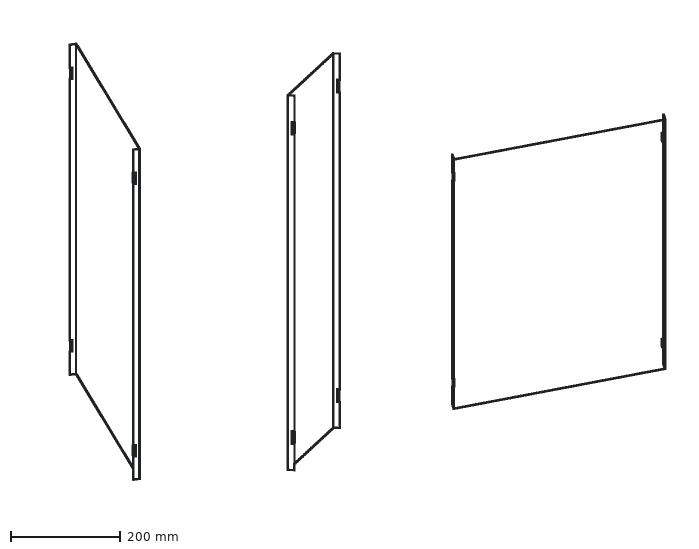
import cadquery as cq

width = 400.0
depth = 12.5
height = 700.0
sheet = 1.0

recess_end_gap = 61.0
recess_length = 24.0
recess_floor_length = 19.5
recess_offset = 3.0
recess_reach = 5.0
recess_floor_reach = 3.0

front = -depth / 2
inner_face = width / 2 - sheet


def channel():
    """Flat sheet with a flange folded forward along each long side."""
    blank = cq.Workplane("XY").box(width, depth, height)
    hollow_depth = depth - sheet
    hollow = cq.Workplane("XY").box(2 * inner_face, hollow_depth, height)
    return blank.cut(hollow.translate((0, -sheet / 2, 0)))


def recess_wedge(outer_x, z):
    """Tapered body on the right flange, open at the front and narrowing inward."""
    return (
        cq.Workplane("YZ", origin=(outer_x, front, z))
        .center(recess_reach / 2, 0)
        .rect(recess_reach, recess_length)
        .workplane(offset=-recess_offset)
        .center((recess_floor_reach - recess_reach) / 2, 0)
        .rect(recess_floor_reach, recess_floor_length)
        .loft(ruled=True)
    )


def press_recess(body, z):
    """Form one recess, keeping the sheet thickness, on each flange."""
    right_skin = recess_wedge(inner_face, z)
    right_void = recess_wedge(width / 2, z)
    for skin, void in (
        (right_skin, right_void),
        (right_skin.mirror("YZ"), right_void.mirror("YZ")),
    ):
        body = body.union(skin).cut(void)
    return body


result = channel()
recess_z = height / 2 - recess_end_gap
for z in (-recess_z, recess_z):
    result = press_recess(result, z)